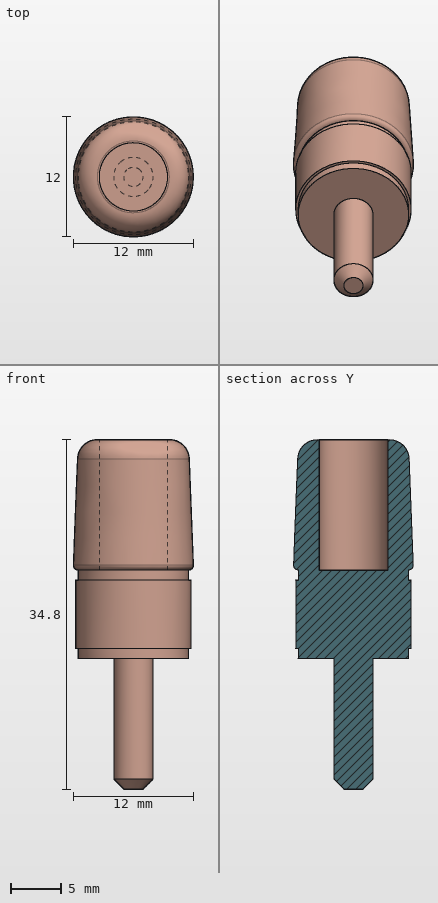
import cadquery as cq

pin_diameter = 3.91
pin_length = 13.0
pin_tip_chamfer = 1.0

step_diameter = 11.0
step_height = 1.0
drum_diameter = 11.5
drum_height = 6.8

cap_base_diameter = 12.0
cap_height = 13.0
cap_top_diameter = 11.0
cap_base_fillet = 0.5
cap_top_fillet = 2.0
socket_diameter = 6.8
socket_depth = cap_height

drum_bottom = pin_length + step_height
drum_top = drum_bottom + drum_height
cap_bottom = drum_top + step_height
cap_top = cap_bottom + cap_height


def cylinder(diameter, bottom, height):
    """Upright cylinder on the Z axis."""
    return cq.Workplane("XY").workplane(offset=bottom).circle(diameter / 2).extrude(height)


def make_pin():
    """Round pin with a chamfered tip."""
    return cylinder(pin_diameter, 0, pin_length).faces("<Z").chamfer(pin_tip_chamfer)


def make_body():
    """Drum between two narrower steps."""
    core = cylinder(step_diameter, pin_length, cap_bottom - pin_length)
    drum = cylinder(drum_diameter, drum_bottom, drum_height)
    return core.union(drum)


def make_cap():
    """Tapered round cap with rounded rims and a blind socket."""
    base_radius = cap_base_diameter / 2
    top_radius = cap_top_diameter / 2
    cone = (
        cq.Workplane("XZ")
        .moveTo(0, cap_bottom)
        .lineTo(base_radius, cap_bottom)
        .lineTo(top_radius, cap_top)
        .lineTo(0, cap_top)
        .close()
        .revolve(360, (0, 0, 0), (0, 1, 0))
    )
    rounded = cone.faces(">Z").edges().fillet(cap_top_fillet)
    rounded = rounded.faces("<Z").edges().fillet(cap_base_fillet)
    socket = cylinder(socket_diameter, cap_top - socket_depth, socket_depth)
    return rounded.cut(socket)


result = make_pin().union(make_body()).union(make_cap())